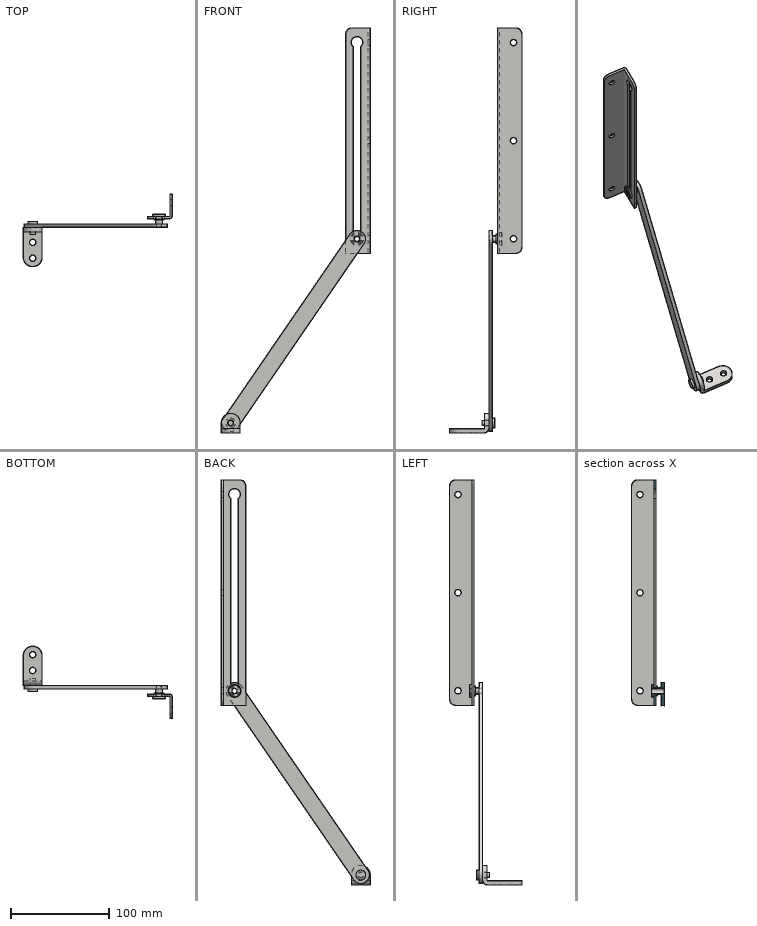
import cadquery as cq
import math

TOTAL_X = 152.0
TOTAL_Y = 74.0
TOTAL_Z = 413.0

RAIL_LENGTH = 230.0
RAIL_LEG = 25.0
RAIL_THICKNESS = 2.5
RAIL_BEND_INNER = 0.5
RAIL_CORNER_RADIUS = 6.5
SLOT_WIDTH = 7.5
KEYHOLE_DIAMETER = 11.5
SLOT_END_OFFSET = 15.0
SLOT_EDGE_OFFSET = 11.5
SCREW_DIAMETER = 6.0
SCREW_EDGE_OFFSET = 16.5
SCREW_PITCH = 100.0

FOOT_WIDTH = 19.5
FOOT_THICKNESS = 4.5
FOOT_BEND_OUTER = 5.0
FOOT_HOLE_DIAMETER = 6.0
FOOT_HOLE_PITCH = 16.0
FOOT_END_HOLE_OFFSET = 8.5
PIVOT_HOLE_DIAMETER = 6.0
PIVOT_HEIGHT = 10.5

ARM_WIDTH = 17.5
ARM_THICKNESS = 3.7
ARM_GAP = 5.0
RIVET_HEAD_DIAMETER = 10.0
RIVET_HEAD_THICKNESS = 2.5
RIVET_DIAMETER = 5.5
RIVET_PROJECTION = 2.5
STUD_NECK_DIAMETER = 7.5
STUD_BORE_DIAMETER = 5.0
STUD_MOUTH_DIAMETER = 6.0
STUD_MOUTH_DEPTH = 1.0
COLLAR_DIAMETER = 10.0
COLLAR_THICKNESS = 1.2
STUD_HEAD_DIAMETER = 13.2
STUD_HEAD_THICKNESS = 2.5
STUD_HEAD_CHAMFER = 0.6

RAIL_LEFT = TOTAL_X - RAIL_LEG
RAIL_BOTTOM = TOTAL_Z - RAIL_LENGTH
RAIL_FRONT = TOTAL_Y - RAIL_LEG
RAIL_BACK = RAIL_FRONT + RAIL_THICKNESS
SLOT_X = RAIL_LEFT + SLOT_EDGE_OFFSET
SLOT_BOTTOM = RAIL_BOTTOM + SLOT_END_OFFSET
SLOT_TOP = TOTAL_Z - SLOT_END_OFFSET
ARM_BACK = RAIL_FRONT - ARM_GAP
ARM_FRONT = ARM_BACK - ARM_THICKNESS
PIVOT_X = FOOT_WIDTH / 2


def cylinder_y(x, z, diameter, front, back):
    """Cylinder along Y between two Y positions."""
    return cq.Workplane(
        cq.Solid.makeCylinder(diameter / 2, back - front, cq.Vector(x, front, z), cq.Vector(0, 1, 0))
    )


def box_between(low, high):
    """Box between two opposite corners."""
    size = [b - a for a, b in zip(low, high)]
    return cq.Workplane().box(*size, centered=False).translate(low)


def make_rail():
    """Bent angle with a keyhole slot in one leg and screw holes in the other."""
    slotted_leg = box_between((RAIL_LEFT, RAIL_FRONT, RAIL_BOTTOM), (TOTAL_X, RAIL_BACK, TOTAL_Z))
    slotted_leg = slotted_leg.edges("|Y and <X and >Z").fillet(RAIL_CORNER_RADIUS)
    leg_inner_x = TOTAL_X - RAIL_THICKNESS
    screw_leg = box_between((leg_inner_x, RAIL_FRONT, RAIL_BOTTOM), (TOTAL_X, TOTAL_Y, TOTAL_Z))
    screw_leg = screw_leg.edges("|X and >Y").fillet(RAIL_CORNER_RADIUS)
    rail = slotted_leg.union(screw_leg)

    rail = rail.edges(cq.selectors.NearestToPointSelector((TOTAL_X, RAIL_FRONT, (RAIL_BOTTOM + TOTAL_Z) / 2)))
    rail = rail.fillet(RAIL_BEND_INNER + RAIL_THICKNESS)
    rail = rail.edges(cq.selectors.NearestToPointSelector((leg_inner_x, RAIL_BACK, (RAIL_BOTTOM + TOTAL_Z) / 2)))
    rail = rail.fillet(RAIL_BEND_INNER)

    slot = box_between(
        (SLOT_X - SLOT_WIDTH / 2, RAIL_FRONT, SLOT_BOTTOM),
        (SLOT_X + SLOT_WIDTH / 2, RAIL_BACK, SLOT_TOP),
    )
    slot_end = cylinder_y(SLOT_X, SLOT_BOTTOM, SLOT_WIDTH, RAIL_FRONT, RAIL_BACK)
    keyhole = cylinder_y(SLOT_X, SLOT_TOP, KEYHOLE_DIAMETER, RAIL_FRONT, RAIL_BACK)
    rail = rail.cut(slot).cut(slot_end).cut(keyhole)

    screw_y = RAIL_FRONT + SCREW_EDGE_OFFSET
    screw_middle_z = (RAIL_BOTTOM + TOTAL_Z) / 2
    for step in (-1, 0, 1):
        center = cq.Vector(leg_inner_x, screw_y, screw_middle_z + step * SCREW_PITCH)
        hole = cq.Solid.makeCylinder(SCREW_DIAMETER / 2, RAIL_THICKNESS, center, cq.Vector(1, 0, 0))
        rail = rail.cut(cq.Workplane(hole))
    return rail


def make_foot():
    """Bent bracket: a round-topped upright and a round-ended base with two holes."""
    upright_front = ARM_FRONT - FOOT_THICKNESS
    end_radius = FOOT_WIDTH / 2
    upright = box_between((0, upright_front, 0), (FOOT_WIDTH, ARM_FRONT, PIVOT_HEIGHT))
    upright = upright.union(cylinder_y(PIVOT_X, PIVOT_HEIGHT, FOOT_WIDTH, upright_front, ARM_FRONT))
    base = box_between((0, end_radius, 0), (FOOT_WIDTH, ARM_FRONT, FOOT_THICKNESS))
    base_end = cq.Workplane().center(PIVOT_X, end_radius).circle(end_radius).extrude(FOOT_THICKNESS)
    foot = upright.union(base).union(base_end)

    foot = foot.edges(cq.selectors.NearestToPointSelector((PIVOT_X, ARM_FRONT, 0)))
    foot = foot.fillet(FOOT_BEND_OUTER)

    for index in range(2):
        hole_y = FOOT_END_HOLE_OFFSET + index * FOOT_HOLE_PITCH
        hole = cq.Workplane().center(PIVOT_X, hole_y).circle(FOOT_HOLE_DIAMETER / 2)
        foot = foot.cut(hole.extrude(FOOT_THICKNESS))
    return foot.cut(cylinder_y(PIVOT_X, PIVOT_HEIGHT, PIVOT_HOLE_DIAMETER, upright_front, ARM_FRONT))


def make_arm():
    """Round-ended flat bar carrying the foot rivet and the hollow stud that rides in the slot."""
    run = SLOT_X - PIVOT_X
    rise = SLOT_BOTTOM - PIVOT_HEIGHT
    spacing = math.hypot(run, rise)
    bar = (
        cq.Workplane("XZ")
        .center((PIVOT_X + SLOT_X) / 2, (PIVOT_HEIGHT + SLOT_BOTTOM) / 2)
        .slot2D(spacing + ARM_WIDTH, ARM_WIDTH, math.degrees(math.atan2(rise, run)))
        .extrude(ARM_THICKNESS)
        .translate((0, ARM_BACK, 0))
    )

    rivet_front = ARM_FRONT - FOOT_THICKNESS - RIVET_PROJECTION
    rivet_back = ARM_BACK + RIVET_HEAD_THICKNESS
    rivet = cylinder_y(PIVOT_X, PIVOT_HEIGHT, RIVET_DIAMETER, rivet_front, ARM_BACK)
    rivet_head = cylinder_y(PIVOT_X, PIVOT_HEIGHT, RIVET_HEAD_DIAMETER, ARM_BACK, rivet_back)

    stud_back = RAIL_BACK + STUD_HEAD_THICKNESS
    neck = cylinder_y(SLOT_X, SLOT_BOTTOM, STUD_NECK_DIAMETER, ARM_BACK, RAIL_BACK)
    collar = cylinder_y(SLOT_X, SLOT_BOTTOM, COLLAR_DIAMETER, RAIL_FRONT - COLLAR_THICKNESS, RAIL_FRONT)
    stud_head = cylinder_y(SLOT_X, SLOT_BOTTOM, STUD_HEAD_DIAMETER, RAIL_BACK, stud_back)
    stud_head = stud_head.faces(">Y").chamfer(STUD_HEAD_CHAMFER)
    arm = bar.union(rivet).union(rivet_head).union(neck).union(collar).union(stud_head)

    bore = cylinder_y(SLOT_X, SLOT_BOTTOM, STUD_BORE_DIAMETER, ARM_FRONT, stud_back)
    mouth = cylinder_y(SLOT_X, SLOT_BOTTOM, STUD_MOUTH_DIAMETER, ARM_FRONT, ARM_FRONT + STUD_MOUTH_DEPTH)
    return arm.cut(bore).cut(mouth)


rail = make_rail()
foot = make_foot()
arm = make_arm()

result = cq.Compound.makeCompound([rail.val(), foot.val(), arm.val()])